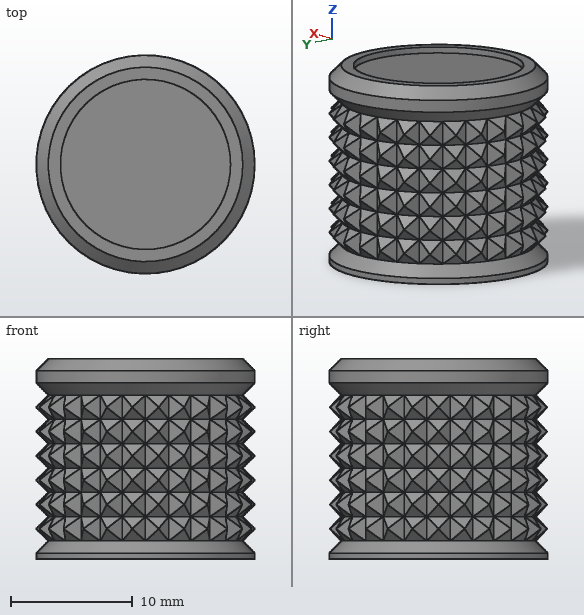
import cadquery as cq
import math

OUTER_RADIUS = 9.0
TOOTH_DEPTH = 1.0
ROOT_RADIUS = OUTER_RADIUS - TOOTH_DEPTH
FOOT_BAND_HEIGHT = 0.5
HEAD_BAND_HEIGHT = 1.0

ROW_COUNT = 6
ROW_PITCH = 2.0 * TOOTH_DEPTH
TEETH_PER_ROW = 26

RECESS_RADIUS = 7.0
RECESS_DEPTH = 0.5

KNURL_BOTTOM = FOOT_BAND_HEIGHT + TOOTH_DEPTH
KNURL_HEIGHT = ROW_COUNT * ROW_PITCH
KNURL_TOP = KNURL_BOTTOM + KNURL_HEIGHT
HEAD_BAND_BOTTOM = KNURL_TOP + TOOTH_DEPTH
HEAD_BAND_TOP = HEAD_BAND_BOTTOM + HEAD_BAND_HEIGHT
TOTAL_HEIGHT = HEAD_BAND_TOP + TOOTH_DEPTH


def revolve_about_z(outline):
    """Revolve a closed (radius, height) outline a full turn about Z."""
    return cq.Workplane("XZ").polyline(outline).close().revolve(360, (0, 0, 0), (0, 1, 0))


def make_foot():
    """Bottom band, tapering in to the root of the knurl."""
    return revolve_about_z([
        (0, 0),
        (OUTER_RADIUS, 0),
        (OUTER_RADIUS, FOOT_BAND_HEIGHT),
        (ROOT_RADIUS, KNURL_BOTTOM),
        (0, KNURL_BOTTOM),
    ])


def make_head():
    """Top band, tapering in both above and below."""
    return revolve_about_z([
        (0, KNURL_TOP),
        (ROOT_RADIUS, KNURL_TOP),
        (OUTER_RADIUS, HEAD_BAND_BOTTOM),
        (OUTER_RADIUS, HEAD_BAND_TOP),
        (ROOT_RADIUS, TOTAL_HEIGHT),
        (0, TOTAL_HEIGHT),
    ])


def make_ridged_core():
    """Stack of V-shaped rings, one for each row of teeth."""
    outline = [(0, KNURL_BOTTOM), (ROOT_RADIUS, KNURL_BOTTOM)]
    for row in range(ROW_COUNT):
        row_bottom = KNURL_BOTTOM + row * ROW_PITCH
        outline.append((OUTER_RADIUS, row_bottom + ROW_PITCH / 2))
        outline.append((ROOT_RADIUS, row_bottom + ROW_PITCH))
    outline.append((0, KNURL_TOP))
    return revolve_about_z(outline)


def make_star_prism():
    """Upright star whose points are the tooth tips and whose notches split the teeth."""
    half_pitch_angle = math.pi / TEETH_PER_ROW
    corners = []
    for index in range(2 * TEETH_PER_ROW):
        radius = OUTER_RADIUS if index % 2 == 0 else ROOT_RADIUS
        angle = index * half_pitch_angle
        corners.append((radius * math.cos(angle), radius * math.sin(angle)))
    return (
        cq.Workplane("XY")
        .workplane(offset=KNURL_BOTTOM)
        .polyline(corners)
        .close()
        .extrude(KNURL_HEIGHT)
    )


def make_knurl():
    """Ridges crossed with the star leave rows of pyramid teeth."""
    return make_ridged_core().intersect(make_star_prism())


def make_recess():
    """Round cutter for the recess in the top face."""
    return (
        cq.Workplane("XY")
        .workplane(offset=TOTAL_HEIGHT - RECESS_DEPTH)
        .circle(RECESS_RADIUS)
        .extrude(RECESS_DEPTH)
    )


result = make_foot().union(make_knurl()).union(make_head()).cut(make_recess())